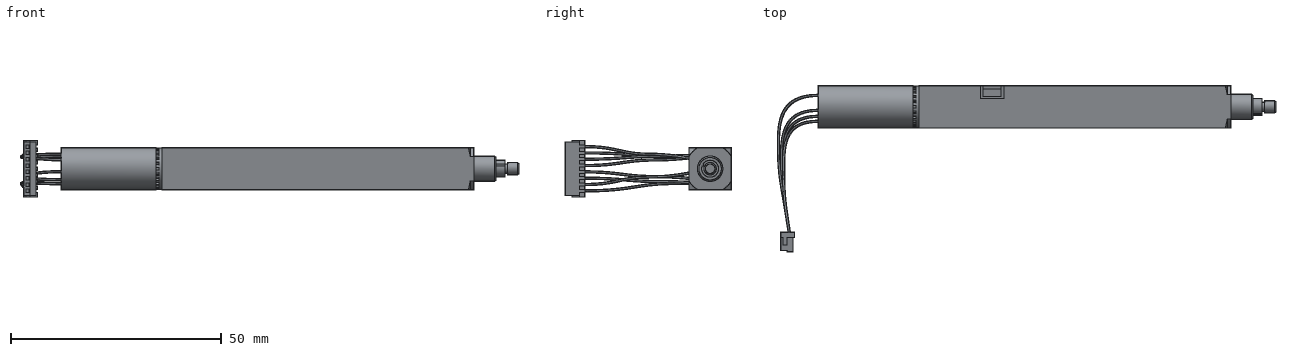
import cadquery as cq
import math


MOTOR_DIAMETER = 10.0
MOTOR_LENGTH = 22.5

NECK_DIAMETER = 9.9
RING_LENGTH = 0.7
RING_ROOT_DIAMETER = 8.0
RING_NOTCH_COUNT = 24
RING_NOTCH_WIDTH = 0.6
HOUSING_START = 23.9
HOUSING_LENGTH = 73.8
HOUSING_WIDTH = 10.0
HOUSING_END = HOUSING_START + HOUSING_LENGTH
SHOULDER_DIAMETER = 11.6
SHOULDER_LENGTH = 0.8
SHOULDER_TAPER = 0.5

NOSE_DIAMETER = 6.0
NOSE_LENGTH = 5.3
NOSE_CHAMFER = 0.4
ROD_DIAMETER = 4.0
ROD_LENGTH = 2.1
KEYWAY_WIDTH = 0.5
KEYWAY_DEPTH = 0.2
KEYWAY_Z = 0.8
TIP_NECK_DIAMETER = 2.2
TIP_NECK_LENGTH = 0.6
TIP_DIAMETER = 3.0
TIP_CHAMFER = 0.4
TIP_END = 108.5

POCKET_START = 38.4
POCKET_LENGTH = 5.5
POCKET_WIDTH = 3.1
POCKET_DEPTH = 2.0
SOCKET_LENGTH = 4.3
SOCKET_WIDTH = 2.6
SOCKET_DROP = 0.5
SOCKET_LEDGE_WIDTH = 0.8
SOCKET_LEDGE_DROP = 0.4

PIN_COUNT = 8
PLUG_REAR_X = -8.9
PLUG_FRONT_X = -5.9
PLUG_WIRE_Y = -29.7
PLUG_MATING_Y = -34.0
PLUG_HEIGHT = 12.8
FLANGE_HEIGHT = 13.5
PIN_PITCH = FLANGE_HEIGHT / (PIN_COUNT + 1)
FLANGE_THICKNESS = 1.3
FLANGE_OVERHANG = 0.4
FLANGE_NOTCH_HEIGHT = 0.7
LUG_REAR_X = -8.3
LUG_WIDTH = 1.0
LUG_LENGTH = 1.8
LIP_WIDTH = 1.4
LIP_LENGTH = 0.3
CONTACT_REAR_X = -8.3
CONTACT_WIDTH = 0.7
CONTACT_HEIGHT = 0.8
CONTACT_DEPTH = 2.4

WIRE_DIAMETER = 0.55
WIRE_STARTS = [
    (-3.4, 2.1),
    (2.7, 2.2),
    (-0.8, 3.4),
    (-2.2, 3.0),
    (-2.2, -2.6),
    (-0.8, -3.5),
    (-3.4, -0.7),
    (2.7, -2.6),
]
WIRE_PLUG_X = -6.9
WIRE_PLUG_DIRECTION = (0.15, -1, 0)
WIRE_TURN_DROP = 11.0
WIRE_TURN_X = -8.9
WIRE_TURN_SPREAD = 0.2


def block(x_range, y_range, z_range):
    """Box between two limits along each axis."""
    x0, x1 = sorted(x_range)
    y0, y1 = sorted(y_range)
    z0, z1 = sorted(z_range)
    return cq.Workplane().box(x1 - x0, y1 - y0, z1 - z0, centered=False).translate((x0, y0, z0))


def rod_between(diameter, start, end):
    """Cylinder on the X axis."""
    return cq.Workplane("YZ", origin=(start, 0, 0)).circle(diameter / 2).extrude(end - start)


def make_motor():
    return rod_between(MOTOR_DIAMETER, 0, MOTOR_LENGTH)


def make_toothed_neck():
    """Neck behind the housing, with notches cut into its rear rim."""
    neck = rod_between(NECK_DIAMETER, MOTOR_LENGTH, HOUSING_START)
    root = RING_ROOT_DIAMETER / 2
    notch = block(
        (MOTOR_LENGTH, MOTOR_LENGTH + RING_LENGTH),
        (root, NECK_DIAMETER),
        (-RING_NOTCH_WIDTH / 2, RING_NOTCH_WIDTH / 2),
    )
    for index in range(RING_NOTCH_COUNT):
        neck = neck.cut(notch.rotate((0, 0, 0), (1, 0, 0), index * 360 / RING_NOTCH_COUNT))
    return neck


def make_square_housing():
    """Square bar whose front corners are turned down to a tapered shoulder."""
    bar = (
        cq.Workplane("YZ", origin=(HOUSING_START, 0, 0))
        .rect(HOUSING_WIDTH, HOUSING_WIDTH)
        .extrude(HOUSING_LENGTH)
    )
    corner_radius = HOUSING_WIDTH / math.sqrt(2)
    shoulder_radius = SHOULDER_DIAMETER / 2
    shoulder_start = HOUSING_END - SHOULDER_LENGTH
    envelope = (
        cq.Workplane("XZ")
        .moveTo(HOUSING_START, 0)
        .lineTo(HOUSING_START, corner_radius)
        .lineTo(shoulder_start - SHOULDER_TAPER, corner_radius)
        .lineTo(shoulder_start, shoulder_radius)
        .lineTo(HOUSING_END, shoulder_radius)
        .lineTo(HOUSING_END, 0)
        .close()
        .revolve(360, (0, 0, 0), (1, 0, 0))
    )
    return bar.intersect(envelope)


def make_nose_and_rod():
    """Chamfered nose, keyed rod and the grooved tip in front of it."""
    nose_end = HOUSING_END + NOSE_LENGTH
    rod_end = nose_end + ROD_LENGTH
    tip_start = rod_end + TIP_NECK_LENGTH
    nose = rod_between(NOSE_DIAMETER, HOUSING_END, nose_end).faces(">X").chamfer(NOSE_CHAMFER)
    keyway_floor = -math.sqrt((ROD_DIAMETER / 2) ** 2 - KEYWAY_Z**2) + KEYWAY_DEPTH
    keyway = block(
        (nose_end, rod_end),
        (keyway_floor, -ROD_DIAMETER),
        (KEYWAY_Z - KEYWAY_WIDTH / 2, KEYWAY_Z + KEYWAY_WIDTH / 2),
    )
    rod = rod_between(ROD_DIAMETER, nose_end, rod_end).cut(keyway)
    tip_neck = rod_between(TIP_NECK_DIAMETER, rod_end, tip_start)
    tip = rod_between(TIP_DIAMETER, tip_start, TIP_END).faces(">X").chamfer(TIP_CHAMFER)
    return nose.union(rod).union(tip_neck).union(tip)


def make_pocket():
    half = HOUSING_WIDTH / 2
    return block(
        (POCKET_START, POCKET_START + POCKET_LENGTH),
        (half - POCKET_WIDTH, half),
        (half - POCKET_DEPTH, half),
    )


def make_socket():
    """Connector block on the pocket floor, with a lower ledge along its outer side."""
    half = HOUSING_WIDTH / 2
    middle = POCKET_START + POCKET_LENGTH / 2
    x_range = (middle - SOCKET_LENGTH / 2, middle + SOCKET_LENGTH / 2)
    top = half - SOCKET_DROP
    socket = block(x_range, (half - SOCKET_WIDTH, half), (half - POCKET_DEPTH, top))
    ledge = block(x_range, (half - SOCKET_LEDGE_WIDTH, half), (top - SOCKET_LEDGE_DROP, top))
    return socket.cut(ledge)


def make_actuator():
    return (
        make_square_housing()
        .cut(make_pocket())
        .union(make_socket())
        .union(make_toothed_neck())
        .union(make_nose_and_rod())
    )


def pin_height(index):
    """Z of a plug pin, counted from the top."""
    return ((PIN_COUNT - 1) / 2 - index) * PIN_PITCH


def make_plug():
    """Plug with a notched flange at the wire side and a row of contact openings at the mating side."""
    flange_y = PLUG_WIRE_Y - FLANGE_THICKNESS
    flange_x = PLUG_FRONT_X + FLANGE_OVERHANG
    body_z = (-PLUG_HEIGHT / 2, PLUG_HEIGHT / 2)
    flange_z = (-FLANGE_HEIGHT / 2, FLANGE_HEIGHT / 2)
    lip_y = PLUG_MATING_Y - LIP_LENGTH
    body = block((PLUG_REAR_X, PLUG_FRONT_X), (PLUG_WIRE_Y, PLUG_MATING_Y), body_z)
    flange = block((PLUG_REAR_X, flange_x), (PLUG_WIRE_Y, flange_y), flange_z)
    lugs = block((LUG_REAR_X, LUG_REAR_X + LUG_WIDTH), (flange_y, flange_y - LUG_LENGTH), flange_z)
    lip = block((PLUG_FRONT_X - LIP_WIDTH, PLUG_FRONT_X), (PLUG_MATING_Y, lip_y), body_z)
    plug = body.union(flange).union(lugs).union(lip)
    for index in range(PIN_COUNT):
        z = pin_height(index)
        opening = block(
            (CONTACT_REAR_X, CONTACT_REAR_X + CONTACT_WIDTH),
            (lip_y, PLUG_MATING_Y + CONTACT_DEPTH),
            (z - CONTACT_HEIGHT / 2, z + CONTACT_HEIGHT / 2),
        )
        notch = block(
            (PLUG_FRONT_X, flange_x),
            (PLUG_WIRE_Y, flange_y),
            (z - FLANGE_NOTCH_HEIGHT / 2, z + FLANGE_NOTCH_HEIGHT / 2),
        )
        plug = plug.cut(opening).cut(notch)
    return plug


def make_wire(index):
    """Wire that leaves the motor backwards and bends round to its pin in the plug."""
    start_y, start_z = WIRE_STARTS[index]
    end_z = pin_height(index)
    turn_x = WIRE_TURN_X - WIRE_TURN_SPREAD * start_y
    turn_y = start_y - WIRE_TURN_DROP
    turn_fraction = WIRE_TURN_DROP / (start_y - PLUG_WIRE_Y)
    turn_z = start_z + turn_fraction * (end_z - start_z)
    path = cq.Workplane().spline(
        [(0, start_y, start_z), (turn_x, turn_y, turn_z), (WIRE_PLUG_X, PLUG_WIRE_Y, end_z)],
        tangents=[(-1, 0, 0), (0, -1, 0), WIRE_PLUG_DIRECTION],
    )
    return cq.Workplane("YZ", origin=(0, start_y, start_z)).circle(WIRE_DIAMETER / 2).sweep(path)


def make_harness():
    harness = make_plug()
    for index in range(PIN_COUNT):
        harness = harness.union(make_wire(index))
    return harness


motor = make_motor()
actuator = make_actuator()
harness = make_harness()

result = cq.Compound.makeCompound([motor.val(), *actuator.solids().vals(), *harness.solids().vals()])